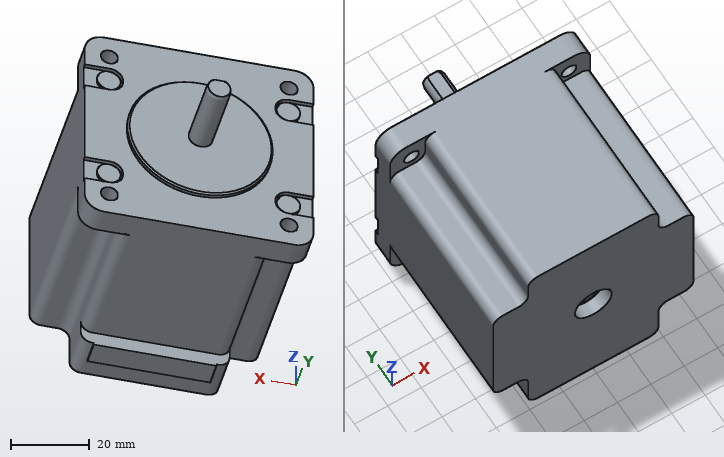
import cadquery as cq


frame_width = 60.0
total_length = 77.1
body_length = 56.5
total_height = 64.0

half_width = frame_width / 2
rear_y = -body_length
tip_y = total_length - body_length

flange_thickness = 7.0
flange_corner_radius = 5.0
mount_hole_spacing = 47.1
mount_hole_diameter = 4.5

corner_step = 10.5
step_radius = 3.0
arm_half_width = half_width - corner_step

cover_length = 11.7
connector_width = 32.2
connector_length = 6.5
connector_height = 0.55
cover_bottom_z = half_width - total_height + connector_height
cover_front_y = rear_y + cover_length

pilot_diameter = 38.1
pilot_height = 1.4
pilot_chamfer = 0.5

recess_diameter = 11.0
recess_depth = 4.0

slot_width = 7.25
slot_depth = 1.15
slot_z = 15.95
slot_end_x = mount_hole_spacing / 2
screw_head_diameter = 6.2
screw_head_height = 0.6

shaft_diameter = 6.3
shaft_chamfer_length = 1.0
shaft_chamfer_width = 0.2
flat_length = 15.0
flat_depth = 0.58


def plane_at(y):
    """Plane across the shaft axis whose local axes are X and Z; it faces -Y."""
    return cq.Workplane("XZ", origin=(0, y, 0))


def disc(diameter, y, length, x=0, z=0):
    """Cylinder along Y that starts at y and runs toward -Y."""
    return plane_at(y).center(x, z).circle(diameter / 2).extrude(length)


def plus_section(front_y, length, bottom_z):
    """Plus-shaped prism with rounded corners; its upright arm ends at bottom_z."""
    upright_height = half_width - bottom_z
    upright_center_z = (half_width + bottom_z) / 2
    upright = (
        plane_at(front_y)
        .center(0, upright_center_z)
        .rect(2 * arm_half_width, upright_height)
        .extrude(length)
    )
    crossbar = plane_at(front_y).rect(frame_width, 2 * arm_half_width).extrude(length)
    return upright.union(crossbar).edges("|Y").fillet(step_radius)


def make_flange():
    flange = plane_at(0).rect(frame_width, frame_width).extrude(flange_thickness)
    flange = flange.edges("|Y").fillet(flange_corner_radius)
    holes = (
        plane_at(0)
        .rect(mount_hole_spacing, mount_hole_spacing, forConstruction=True)
        .vertices()
        .circle(mount_hole_diameter / 2)
        .extrude(flange_thickness)
    )
    return flange.cut(holes)


def make_pilot():
    pilot = disc(pilot_diameter, pilot_height, pilot_height)
    return pilot.faces(">Y").chamfer(pilot_chamfer)


def make_connector():
    return (
        plane_at(cover_front_y)
        .center(0, cover_bottom_z - connector_height / 2)
        .rect(connector_width, connector_height)
        .extrude(connector_length)
    )


def cut_screw_slots(housing):
    """Cut the four round-ended side slots, leaving a screw head on each floor."""
    run_out = half_width - slot_end_x
    for side in (-1, 1):
        for level in (-1, 1):
            x = side * slot_end_x
            z = level * slot_z
            slot = disc(slot_width, 0, slot_depth, x, z)
            channel = (
                plane_at(0)
                .center(x + side * run_out / 2, z)
                .rect(run_out, slot_width)
                .extrude(slot_depth)
            )
            head_top_y = screw_head_height - slot_depth
            head = disc(screw_head_diameter, head_top_y, screw_head_height, x, z)
            housing = housing.cut(slot.union(channel).cut(head))
    return housing


def make_housing():
    body = plus_section(-flange_thickness, body_length - flange_thickness, -half_width)
    cover = plus_section(cover_front_y, cover_length, cover_bottom_z)
    housing = make_flange().union(make_pilot()).union(body).union(cover).union(make_connector())
    housing = cut_screw_slots(housing)
    recess = disc(recess_diameter, rear_y + recess_depth, recess_depth)
    shaft_bore = disc(shaft_diameter, pilot_height, pilot_height - rear_y)
    return housing.cut(recess).cut(shaft_bore)


def make_shaft():
    """Shaft with both ends chamfered and a flat on top; its rear chamfer stands in the recess."""
    shaft_rear_y = rear_y + recess_depth - shaft_chamfer_length
    shaft = disc(shaft_diameter, tip_y, tip_y - shaft_rear_y)
    shaft = shaft.faces("<Y or >Y").chamfer(shaft_chamfer_length, shaft_chamfer_width)
    flat_cut = (
        plane_at(tip_y)
        .center(0, shaft_diameter / 2 - flat_depth / 2)
        .rect(shaft_diameter, flat_depth)
        .extrude(flat_length)
    )
    return shaft.cut(flat_cut)


housing = make_housing()
shaft = make_shaft()
result = cq.Compound.makeCompound([housing.val(), shaft.val()])